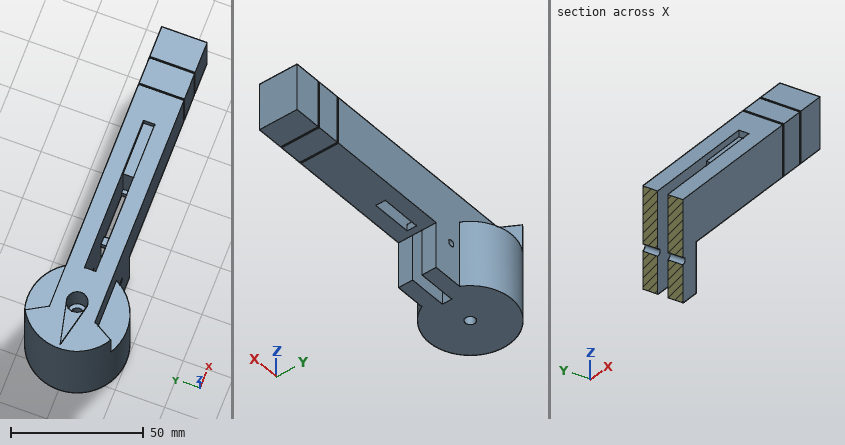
import cadquery as cq
import math

total_length = 135.0
height = 45.5

hub_diameter = 40.0
hub_radius = hub_diameter / 2
shoulder_height = 32.4
shoulder_angle = 120.0
bore_diameter = 4.7
counterbore_diameter = 8.1
counterbore_depth = height - shoulder_height

pointer_length = 18.4
pointer_base = 8.4
pointer_depth = 0.5

arm_width = 18.4
arm_bottom = 22.5
arm_end = total_length - hub_radius
leg_end = 31.7

groove_centers = (90.5, 101.9)
groove_width = 0.5
groove_depth = 0.3

slot_width = arm_width / 4
slot_start = 13.9
slot_end = 77.2
slot_depth = 3.0
deep_slot_end = 55.4
crossbar_length = 3.2
crossbar_height = crossbar_length
window_end = 53.7

pin_diameter = 3.0
pin_x = 22.7
pin_z = 18.4


def block(x_start, x_end, width, z_bottom, z_top):
    """Box centred on Y = 0."""
    return (
        cq.Workplane("XY")
        .box(x_end - x_start, width, z_top - z_bottom, centered=(False, True, False))
        .translate((x_start, 0, z_bottom))
    )


def make_hub():
    lower = cq.Workplane("XY").circle(hub_radius).extrude(shoulder_height)
    wall_x = hub_radius * math.cos(math.radians(shoulder_angle))
    wall_y = hub_radius * math.sin(math.radians(shoulder_angle))
    sector = (
        cq.Workplane("XY")
        .moveTo(0, 0)
        .lineTo(wall_x, wall_y)
        .threePointArc((-hub_radius, 0), (wall_x, -wall_y))
        .close()
        .extrude(height)
    )
    return lower.union(sector)


def make_arm():
    arm_start = arm_width / 2 / math.tan(math.radians(shoulder_angle))
    arm = block(arm_start, arm_end, arm_width, arm_bottom, height)
    leg = block(0, leg_end, arm_width, 0, height)
    return arm.union(leg)


def groove_cutter(center):
    start = center - groove_width / 2
    end = center + groove_width / 2
    outside = block(start, end, 2 * arm_width, 0, 2 * height)
    core = block(
        start, end, arm_width - 2 * groove_depth, arm_bottom + groove_depth, height - groove_depth
    )
    return outside.cut(core)


def slot_cutter():
    shallow = block(slot_start, slot_end, slot_width, height - slot_depth, height)
    deep = block(slot_start, deep_slot_end, slot_width, arm_bottom + crossbar_height, height)
    leg_opening = block(slot_start, leg_end, slot_width, 0, height)
    window = block(leg_end + crossbar_length, window_end, slot_width, arm_bottom, height)
    return shallow.union(deep).union(leg_opening).union(window)


def bore_cutter():
    bore = cq.Workplane("XY").circle(bore_diameter / 2).extrude(height)
    counterbore = (
        cq.Workplane("XY")
        .workplane(offset=height - counterbore_depth)
        .circle(counterbore_diameter / 2)
        .extrude(counterbore_depth)
    )
    return bore.union(counterbore)


def pointer_cutter():
    half_base = pointer_base / 2
    return (
        cq.Workplane("XY")
        .workplane(offset=height - pointer_depth)
        .polyline([(-pointer_length, 0), (0, half_base), (0, -half_base)])
        .close()
        .extrude(pointer_depth)
    )


def pin_cutter():
    return (
        cq.Workplane("XZ")
        .center(pin_x, pin_z)
        .circle(pin_diameter / 2)
        .extrude(arm_width, both=True)
    )


result = make_hub().union(make_arm())
result = result.cut(slot_cutter()).cut(bore_cutter()).cut(pointer_cutter()).cut(pin_cutter())
for groove_center in groove_centers:
    result = result.cut(groove_cutter(groove_center))